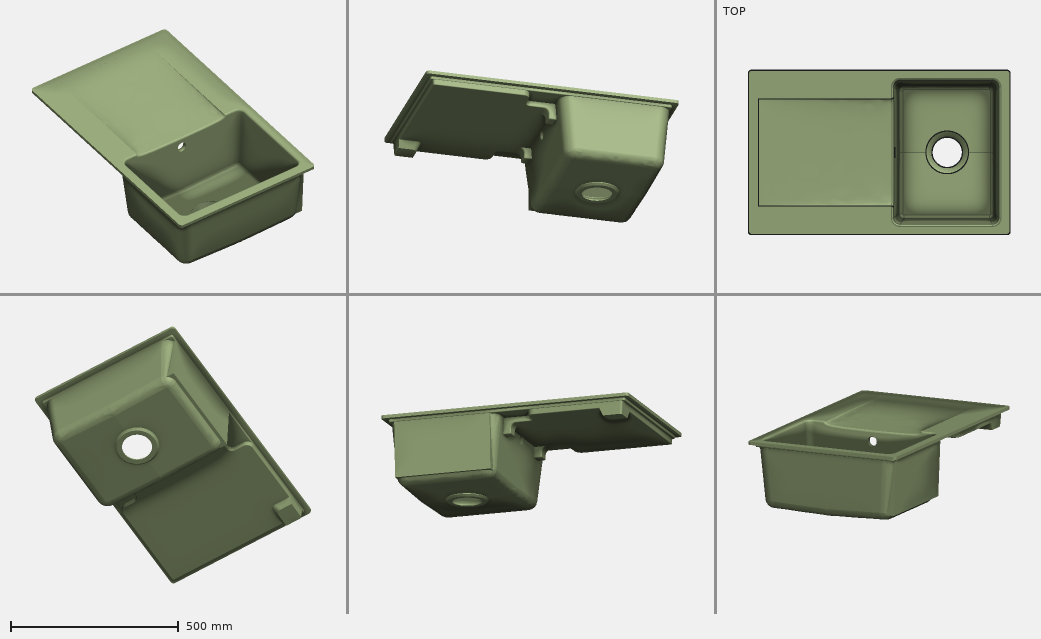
import cadquery as cq
import math

PLATE_X = 780.0
PLATE_Y = 490.0
PLATE_THICK = 10.0
PLATE_CORNER_R = 10.0
TOTAL_HEIGHT = 220.0

STEP_X_MIN = -374.0
STEP_X_MAX = 372.0
STEP_HALF_Y = 229.0
STEP_BOTTOM = -19.0
STEP_CORNER_R = 6.0
EDGE_R = 2.5

BLOCK_X_MIN = -366.0
BLOCK_BOTTOM = -36.0
BLOCK_CORNER_R = 6.0
BLOCK_HALF_Y = 228.5
BLOCK_DRAFT = 4.0
BLOCK_NARROW_HALF_Y = 161.0
BLOCK_SHOULDER_X = -64.0
SHOULDER_OUTER_R = 22.0
SHOULDER_INNER_R = 16.0

FOOT_BOTTOM = -59.0
FOOT_X_TOP = -294.0
FOOT_X_BOTTOM = -305.0
FOOT_Y_TOP = 159.0
FOOT_Y_BOTTOM = 172.0
FOOT_CORNER_R = 18.0

BOWL_OUTER_TOP_Z = STEP_BOTTOM
BOWL_OUTER_TOP = (29.0, 371.5, 226.5, 36.0)
BOWL_OUTER_LOW_Z = -182.0
BOWL_OUTER_LOW = (47.0, 358.5, 213.5, 33.0)
BOWL_OUTER_FLOOR = -214.0
BOWL_OUTER_FILLET = 28.0

BOWL_INNER_TOP = (42.0, 357.0, 215.0, 20.0)
BOWL_INNER_LOW_Z = -190.0
BOWL_INNER_LOW = (59.5, 342.0, 197.0, 14.0)
BOWL_INNER_FLOOR = -202.0
BOWL_INNER_FILLET = 11.0
RIM_R = 6.0
FLOOR_SLOPE = 0.032

DRAIN_X = 202.5
DRAIN_D = 90.0
FUNNEL_D = 127.0
FUNNEL_BOTTOM = -216.0
BOSS_TOP_D = 133.0
BOSS_BOTTOM_D = 120.0

OVERFLOW_D = 30.0
OVERFLOW_Z = -45.0

RECESS_X_MIN = -360.0
RECESS_X_MAX = 52.0
RECESS_HALF_Y = 159.5
RECESS_START_DEPTH = 0.1
RECESS_END_DEPTH = 14.0
RECESS_WALL_SHARE = 0.6
RECESS_CURVE_WIDTH = 32.0

BUTTRESS_X = 10.0
BUTTRESS_BOTTOM = -69.0
BUTTRESS_BEND_R = 17.0
BUTTRESS_Y_INNER = 117.0
BUTTRESS_DRAFT = 6.0
BUTTRESS_X_END = 60.0
BUTTRESS_CORNER_R = 4.0

PAD_X_MIN = 52.0
PAD_BOTTOM = -189.0
PAD_Y_BOTTOM = 222.0
PAD_Y_INNER = 190.0


def rounded_prism(x_min, x_max, half_y, z_top, z_bottom, radius):
    """Upright block, symmetric about Y = 0, with rounded vertical edges."""
    return (
        cq.Workplane("XY", origin=((x_min + x_max) / 2, 0, z_bottom))
        .rect(x_max - x_min, 2 * half_y)
        .extrude(z_top - z_bottom)
        .edges("|Z")
        .fillet(radius)
    )


def outline_at(high, high_z, low, low_z, z):
    """Tapered bowl outline, carried on in a straight line to height z."""
    t = (z - high_z) / (low_z - high_z)
    return tuple(a + t * (b - a) for a, b in zip(high, low))


def rounded_section(outline, z):
    """Rounded rectangle sketch at height z."""
    x_min, x_max, half_y, radius = outline
    sketch = cq.Sketch().rect(x_max - x_min, 2 * half_y).vertices().fillet(radius)
    return sketch.moved(cq.Location(cq.Vector((x_min + x_max) / 2, 0, z)))


def bowl_body(high, high_z, low, low_z, floor_z, fillet_r):
    """Tapered body with a shallow V floor, lowest along Y = 0, and a rounded bottom edge."""
    upper = rounded_section(high, high_z)
    lower = rounded_section(outline_at(high, high_z, low, low_z, floor_z), floor_z)
    body = cq.Workplane("XY").placeSketch(upper, lower).loft(ruled=True)
    rise = FLOOR_SLOPE * PLATE_Y / 2
    half = PLATE_Y / 2
    below_floor = (
        cq.Workplane("YZ", origin=(-PLATE_X / 2, 0, 0))
        .polyline([(0, floor_z), (half, floor_z + rise), (half, -2 * TOTAL_HEIGHT),
                   (-half, -2 * TOTAL_HEIGHT), (-half, floor_z + rise)])
        .close()
        .extrude(PLATE_X)
    )
    body = body.cut(below_floor)
    crease_gap = 5.0
    rear = cq.selectors.BoxSelector((-PLATE_X, crease_gap, floor_z), (PLATE_X, half, floor_z + rise))
    front = cq.selectors.BoxSelector((-PLATE_X, -half, floor_z), (PLATE_X, -crease_gap, floor_z + rise))
    return body.edges(cq.selectors.SumSelector(rear, front)).fillet(fillet_r)


def rim_plate():
    return rounded_prism(-PLATE_X / 2, PLATE_X / 2, PLATE_Y / 2, 0, -PLATE_THICK, PLATE_CORNER_R)


def locating_step():
    step = rounded_prism(STEP_X_MIN, STEP_X_MAX, STEP_HALF_Y, -PLATE_THICK, STEP_BOTTOM, STEP_CORNER_R)
    return step.faces("<Z").edges().fillet(EDGE_R)


def drainer_block():
    """Drafted block that narrows, through an S-shaped shoulder on each side, ahead of the bowl."""
    x_end = (BOWL_INNER_TOP[0] + BOWL_OUTER_TOP[0]) / 2
    block = (
        cq.Workplane("XY", origin=((BLOCK_X_MIN + x_end) / 2, 0, STEP_BOTTOM))
        .rect(x_end - BLOCK_X_MIN, 2 * BLOCK_HALF_Y)
        .extrude(BLOCK_BOTTOM - STEP_BOTTOM, taper=BLOCK_DRAFT)
    )
    for side in (1, -1):
        notch = (
            cq.Workplane("XY", origin=(BLOCK_SHOULDER_X, side * BLOCK_NARROW_HALF_Y, STEP_BOTTOM))
            .rect(PLATE_X, side * PLATE_Y, centered=False)
            .extrude(BLOCK_BOTTOM - STEP_BOTTOM)
        )
        block = block.cut(notch)
    block = block.union(corner_foot())
    z_mid = (BLOCK_BOTTOM + STEP_BOTTOM) / 2
    for side in (1, -1):
        for x, y, radius in (
            (BLOCK_SHOULDER_X, BLOCK_HALF_Y, SHOULDER_OUTER_R),
            (BLOCK_SHOULDER_X, BLOCK_NARROW_HALF_Y, SHOULDER_INNER_R),
            (BLOCK_X_MIN, BLOCK_HALF_Y, BLOCK_CORNER_R),
        ):
            block = block.edges(cq.selectors.NearestToPointSelector((x, side * y, z_mid))).fillet(radius)
    bottom_rim = cq.selectors.BoxSelector(
        (-PLATE_X, -PLATE_Y, BLOCK_BOTTOM - EDGE_R / 2),
        (0, PLATE_Y, BLOCK_BOTTOM + EDGE_R / 2),
    )
    return block.edges(bottom_rim).fillet(EDGE_R)


def corner_foot():
    """Foot at the rear left corner, sloping on the two sides that face inwards."""
    draft = (STEP_BOTTOM - FOOT_BOTTOM) * math.tan(math.radians(BLOCK_DRAFT))
    reach = (STEP_BOTTOM - FOOT_BOTTOM) / (BLOCK_BOTTOM - FOOT_BOTTOM)
    x_top = FOOT_X_BOTTOM + (FOOT_X_TOP - FOOT_X_BOTTOM) * reach
    y_top = FOOT_Y_BOTTOM + (FOOT_Y_TOP - FOOT_Y_BOTTOM) * reach
    along_x = (
        cq.Workplane("XZ")
        .polyline([(BLOCK_X_MIN, STEP_BOTTOM), (x_top, STEP_BOTTOM),
                   (FOOT_X_BOTTOM, FOOT_BOTTOM), (BLOCK_X_MIN + draft, FOOT_BOTTOM)])
        .close()
        .extrude(-PLATE_Y / 2)
    )
    along_y = (
        cq.Workplane("YZ", origin=(-PLATE_X / 2, 0, 0))
        .polyline([(y_top, STEP_BOTTOM), (BLOCK_HALF_Y, STEP_BOTTOM),
                   (BLOCK_HALF_Y - draft, FOOT_BOTTOM), (FOOT_Y_BOTTOM, FOOT_BOTTOM)])
        .close()
        .extrude(PLATE_X)
    )
    foot = along_x.intersect(along_y)
    z_mid = (STEP_BOTTOM + FOOT_BOTTOM) / 2
    inner_corner = (x_top + FOOT_X_BOTTOM) / 2, (y_top + FOOT_Y_BOTTOM) / 2, z_mid
    return foot.edges(cq.selectors.NearestToPointSelector(inner_corner)).fillet(FOOT_CORNER_R)


def buttress(side):
    """Bracket that bends down from the drainer block towards the bowl wall."""
    profile = (
        cq.Workplane("XZ", origin=(0, side * BUTTRESS_Y_INNER, 0))
        .moveTo(BUTTRESS_X - BUTTRESS_BEND_R, STEP_BOTTOM)
        .lineTo(BUTTRESS_X - BUTTRESS_BEND_R, BLOCK_BOTTOM)
        .radiusArc((BUTTRESS_X, BLOCK_BOTTOM - BUTTRESS_BEND_R), BUTTRESS_BEND_R)
        .lineTo(BUTTRESS_X, BUTTRESS_BOTTOM)
        .lineTo(BUTTRESS_X_END, BUTTRESS_BOTTOM)
        .lineTo(BUTTRESS_X_END, STEP_BOTTOM)
        .close()
        .extrude(-side * (BLOCK_NARROW_HALF_Y - BUTTRESS_Y_INNER))
    )
    mid_y = side * (BUTTRESS_Y_INNER + BLOCK_NARROW_HALF_Y) / 2
    envelope = (
        cq.Workplane("XY", origin=(0, mid_y, BLOCK_BOTTOM))
        .rect(PLATE_X, BLOCK_NARROW_HALF_Y - BUTTRESS_Y_INNER)
        .extrude(BUTTRESS_BOTTOM - BLOCK_BOTTOM, taper=BUTTRESS_DRAFT)
        .faces(">Z")
        .wires()
        .toPending()
        .extrude(STEP_BOTTOM - BLOCK_BOTTOM)
    )
    arm = profile.intersect(envelope)
    lower_edges = cq.selectors.BoxSelector(
        (BUTTRESS_X - 1, -PLATE_Y, BUTTRESS_BOTTOM - 1),
        (BUTTRESS_X_END - 1, PLATE_Y, BLOCK_BOTTOM - BUTTRESS_BEND_R),
    )
    return arm.edges(lower_edges).fillet(BUTTRESS_CORNER_R)


def rear_pad():
    """Flat pad that thickens the rear wall of the bowl, leaning slightly inwards."""
    x_max = 2 * DRAIN_X - PAD_X_MIN
    return (
        cq.Workplane("YZ", origin=(PAD_X_MIN, 0, 0))
        .polyline([(STEP_HALF_Y, STEP_BOTTOM), (PAD_Y_BOTTOM, PAD_BOTTOM),
                   (PAD_Y_INNER, PAD_BOTTOM), (PAD_Y_INNER, STEP_BOTTOM)])
        .close()
        .extrude(x_max - PAD_X_MIN)
    )


def drain_boss():
    """Tapered ring under the bowl floor around the drain."""
    root_z = BOWL_OUTER_FLOOR + BOWL_OUTER_FILLET / 5
    return (
        cq.Workplane("XZ", origin=(DRAIN_X, 0, 0))
        .polyline([(0, -TOTAL_HEIGHT), (BOSS_BOTTOM_D / 2, -TOTAL_HEIGHT),
                   (BOSS_TOP_D / 2, BOWL_OUTER_FLOOR), (BOSS_TOP_D / 2, root_z), (0, root_z)])
        .close()
        .revolve(360, (0, 0, 0), (0, 1, 0))
    )


def drain_opening():
    """Conical seat that narrows to the round drain hole."""
    return (
        cq.Workplane("XZ", origin=(DRAIN_X, 0, 0))
        .polyline([(0, -TOTAL_HEIGHT), (DRAIN_D / 2, -TOTAL_HEIGHT), (DRAIN_D / 2, FUNNEL_BOTTOM),
                   (FUNNEL_D / 2, BOWL_INNER_FLOOR), (FUNNEL_D / 2, BOWL_OUTER_LOW_Z), (0, BOWL_OUTER_LOW_Z)])
        .close()
        .revolve(360, (0, 0, 0), (0, 1, 0))
    )


def overflow_hole():
    return (
        cq.Workplane("YZ", origin=(BOWL_OUTER_TOP[0], 0, OVERFLOW_Z))
        .circle(OVERFLOW_D / 2)
        .extrude(DRAIN_X - BOWL_OUTER_TOP[0])
    )


def recess_section(x, depth):
    """Trough section at a given X: one curve with steep sides that eases into a flat floor."""
    half = [
        (RECESS_HALF_Y, 0),
        (RECESS_HALF_Y, -depth * RECESS_WALL_SHARE),
        (RECESS_HALF_Y - RECESS_CURVE_WIDTH / 2, -depth),
        (RECESS_HALF_Y - RECESS_CURVE_WIDTH, -depth),
    ]
    mirrored = [(-y, z) for y, z in reversed(half)]
    return cq.Workplane("YZ", origin=(x, 0, 0)).bezier(half + [(0, -depth)] + mirrored).close().val()


def drainer_recess():
    """Trough that deepens steadily from its far end to the bowl."""
    sections = [
        recess_section(RECESS_X_MIN, RECESS_START_DEPTH),
        recess_section(RECESS_X_MAX, RECESS_END_DEPTH),
    ]
    return cq.Workplane(cq.Solid.makeLoft(sections, True))


def bowl_cavity():
    return bowl_body(BOWL_INNER_TOP, 0, BOWL_INNER_LOW, BOWL_INNER_LOW_Z, BOWL_INNER_FLOOR, BOWL_INNER_FILLET)


def rim_edges():
    """Region just around the upper edge of the bowl, used to pick the edges to round."""
    x_min, x_max, half_y, _ = BOWL_INNER_TOP
    low = -RECESS_END_DEPTH - 1
    return cq.selectors.BoxSelector((x_min - 1, -half_y - 1, low), (x_max + 1, half_y + 1, 1), boundingbox=True)


body = rim_plate().union(locating_step()).union(drainer_block())
for side in (1, -1):
    body = body.union(buttress(side))
body = body.union(
    bowl_body(BOWL_OUTER_TOP, BOWL_OUTER_TOP_Z, BOWL_OUTER_LOW, BOWL_OUTER_LOW_Z,
              BOWL_OUTER_FLOOR, BOWL_OUTER_FILLET)
)
body = body.union(rear_pad()).union(drain_boss())
body = body.cut(bowl_cavity()).cut(drainer_recess())
body = body.edges(rim_edges()).fillet(RIM_R)
result = body.cut(drain_opening()).cut(overflow_hole())